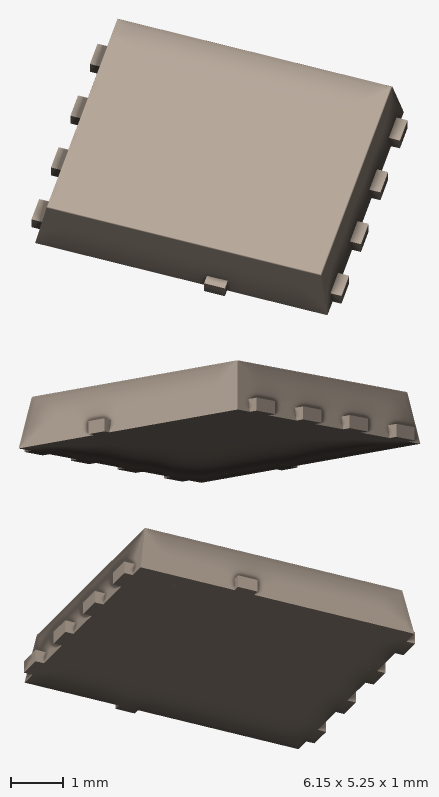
import cadquery as cq
import math

overall_x = 6.15
overall_y = 5.25
height = 1.0

housing_x = 5.8
housing_y = 4.97
draft_angle = 10.0
top_radius = 0.025

metal_thickness = 0.25
lead_count = 4
lead_pitch = 1.265
lead_width = 0.5
lead_length = 0.615
tab_width = 0.41
tab_x = 0.7

plate_x_min = -1.54
plate_x_max = overall_x / 2 - lead_length
plate_y = (lead_count - 1) * lead_pitch + lead_width

lead_ys = [(i - (lead_count - 1) / 2) * lead_pitch for i in range(lead_count)]


def metal_block(size_x, size_y, center_x, center_y):
    """Flat metal block standing on the underside plane."""
    return (
        cq.Workplane("XY")
        .center(center_x, center_y)
        .rect(size_x, size_y)
        .extrude(metal_thickness)
    )


def make_lead(side, center_y):
    """Lead ending at the outer limit on the -X (-1) or +X (+1) side."""
    center_x = side * (overall_x - lead_length) / 2
    return metal_block(lead_length, lead_width, center_x, center_y)


def make_drain():
    """One piece: plate, the +X row of leads and a tab out of each Y side."""
    plate_length = plate_x_max - plate_x_min
    plate_center = (plate_x_max + plate_x_min) / 2
    drain = metal_block(plate_length, plate_y, plate_center, 0)
    for y in lead_ys:
        drain = drain.union(make_lead(1, y))
    tab_bar = metal_block(tab_width, overall_y, tab_x, 0)
    return drain.union(tab_bar)


def make_housing(metal_bodies):
    """Tapered block with recesses that fit the metal."""
    inset = height * math.tan(math.radians(draft_angle))
    block = (
        cq.Workplane("XY")
        .rect(housing_x, housing_y)
        .workplane(offset=height)
        .rect(housing_x - 2 * inset, housing_y - 2 * inset)
        .loft(ruled=True)
        .faces(">Z")
        .edges()
        .fillet(top_radius)
    )
    for body in metal_bodies:
        block = block.cut(body)
    return block


source_leads = [make_lead(-1, y) for y in lead_ys]
drain = make_drain()
housing = make_housing([*source_leads, drain])

result = cq.Compound.makeCompound(
    [housing.val(), drain.val(), *[lead.val() for lead in source_leads]]
)